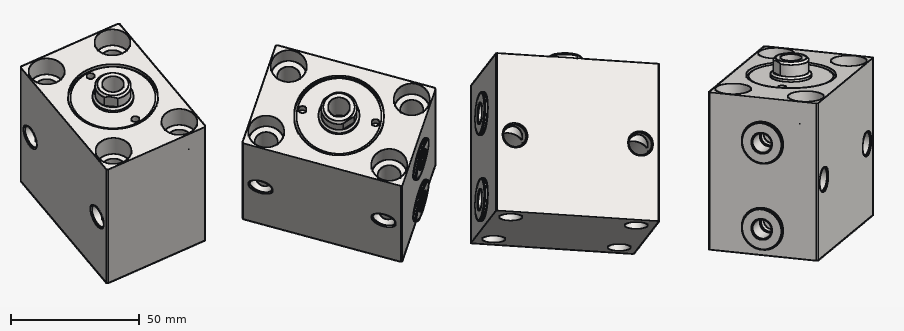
import cadquery as cq
import math


block_length = 65.0
block_width = 45.0
block_height = 64.0
corner_chamfer = 0.5

screw_spacing_x = 50.0
screw_spacing_y = 29.95
screw_hole_diameter = 9.0
counterbore_diameter = 14.0
counterbore_depth = 9.0
cross_hole_height = 31.0
cross_hole_chamfer = 0.5

gland_diameter = 35.0
gland_recess = 0.5
gland_thickness = 21.3
gland_chamfer = 1.0
spanner_hole_diameter = 3.1
spanner_hole_depth = 3.55
spanner_hole_radius = 14.5
spanner_hole_angle = 5.6

rod_diameter = 16.0
rod_projection = 7.0
neck_diameter = 14.0
neck_length = 5.7
flare_height = 0.85
rod_tip_chamfer = 0.9
width_across_flats = 13.0
flats_angle = -38
rod_bore_diameter = 8.5
rod_bore_depth = 15.0
drill_point_angle = 118

flange_diameter = 17.0
flange_thickness = 1.55
flange_chamfer = 0.4
shank_diameter = 11.35
shank_length = 7.1
fitting_bore_diameter = 7.75
countersink = 0.4
port_bore_diameter = 6.6
port_bore_depth = 10.0
port_heights = [11.0, 46.0]

gland_top = block_height - gland_recess
gland_bottom = gland_top - gland_thickness
rod_top = block_height + rod_projection
port_face_x = -block_length / 2
flange_face_x = port_face_x - flange_thickness
shank_end_x = port_face_x + shank_length


def cylinder_z(diameter, bottom, top):
    """Solid cylinder on the rod axis between two heights."""
    return cq.Workplane("XY").workplane(offset=bottom).circle(diameter / 2).extrude(top - bottom)


def cylinder_x(diameter, start, end, height):
    """Solid cylinder along +X at the given height."""
    plane = cq.Workplane("YZ", origin=(start, 0, height))
    return plane.circle(diameter / 2).extrude(end - start)


def make_housing():
    block = cq.Workplane("XY").box(block_length, block_width, block_height, centered=(True, True, False))
    block = block.edges("|Z").chamfer(corner_chamfer)

    block = (
        block.faces(">Z").workplane()
        .rarray(screw_spacing_x, screw_spacing_y, 2, 2)
        .cboreHole(screw_hole_diameter, counterbore_diameter, counterbore_depth)
    )

    hole_radius = screw_hole_diameter / 2
    rim_radius = hole_radius + cross_hole_chamfer
    half_width = block_width / 2
    half_profile = [
        (0, 0),
        (hole_radius, 0),
        (hole_radius, half_width - cross_hole_chamfer),
        (rim_radius, half_width),
        (0, half_width),
    ]
    half_cutter = cq.Workplane("XY").polyline(half_profile).close().revolve(360, (0, 0), (0, 1))
    cross_cutter = half_cutter.union(half_cutter.mirror("XZ"))
    for side in (-1, 1):
        block = block.cut(cross_cutter.translate((side * screw_spacing_x / 2, 0, cross_hole_height)))

    block = block.cut(cylinder_z(gland_diameter, gland_bottom, block_height))
    for height in port_heights:
        bore_end = port_face_x + port_bore_depth
        block = block.cut(cylinder_x(shank_diameter, port_face_x, shank_end_x, height))
        block = block.cut(cylinder_x(port_bore_diameter, port_face_x, bore_end, height))
    return block


def make_gland():
    gland = cylinder_z(gland_diameter, gland_bottom, gland_top).faces(">Z").edges().chamfer(gland_chamfer)
    gland = gland.cut(cylinder_z(rod_diameter, gland_bottom, gland_top))

    spanner_holes = (
        cq.Workplane("XY", origin=(0, 0, gland_top))
        .polarArray(spanner_hole_radius, spanner_hole_angle, 360, 2)
        .circle(spanner_hole_diameter / 2)
        .extrude(-spanner_hole_depth)
    )
    return gland.cut(spanner_holes)


def make_rod():
    rod_radius = rod_diameter / 2
    neck_radius = neck_diameter / 2
    neck_bottom = rod_top - neck_length
    bore_radius = rod_bore_diameter / 2
    bore_bottom = rod_top - rod_bore_depth
    point_depth = bore_radius / math.tan(math.radians(drill_point_angle / 2))
    profile = [
        (0, gland_bottom),
        (rod_radius, gland_bottom),
        (rod_radius, neck_bottom - flare_height),
        (neck_radius, neck_bottom),
        (neck_radius, rod_top - rod_tip_chamfer),
        (neck_radius - rod_tip_chamfer, rod_top),
        (bore_radius, rod_top),
        (bore_radius, bore_bottom),
        (0, bore_bottom - point_depth),
    ]
    rod = cq.Workplane("XZ").polyline(profile).close().revolve(360, (0, 0), (0, 1))

    outside_flats = cylinder_z(rod_diameter, neck_bottom, rod_top).cut(
        cq.Workplane("XY", origin=(0, 0, neck_bottom))
        .rect(width_across_flats, 2 * rod_diameter)
        .extrude(neck_length)
        .rotate((0, 0, 0), (0, 0, 1), flats_angle)
    )
    return rod.cut(outside_flats)


def make_fitting(height):
    flange = cylinder_x(flange_diameter, flange_face_x, port_face_x, height).edges().chamfer(flange_chamfer)
    fitting = flange.union(cylinder_x(shank_diameter, port_face_x, shank_end_x, height))
    fitting = fitting.cut(cylinder_x(fitting_bore_diameter, flange_face_x, shank_end_x, height))
    bore_rim = fitting.faces("<X").edges(cq.selectors.RadiusNthSelector(0))
    return bore_rim.chamfer(countersink)


housing = make_housing()
gland = make_gland()
rod = make_rod()
fittings = [make_fitting(height) for height in port_heights]

result = cq.Compound.makeCompound(
    [housing.val(), gland.val(), rod.val(), *[fitting.val() for fitting in fittings]]
)